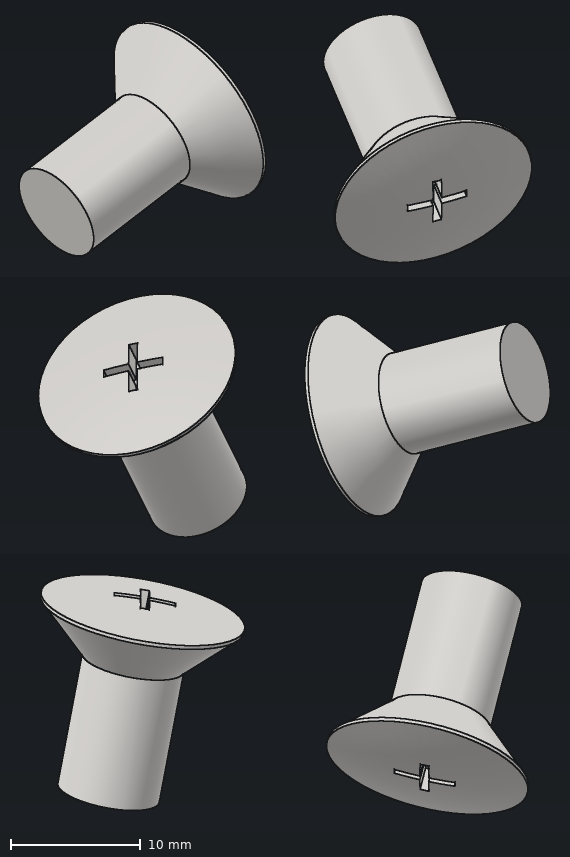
import cadquery as cq

head_diameter = 16.0
shank_diameter = head_diameter / 2
total_length = 15.98
dome_height = 0.96
rim_thickness = 0.3
recess_span = 4.8
recess_width = 0.7
recess_depth = 1.92

head_radius = head_diameter / 2
shank_radius = shank_diameter / 2
cone_height = head_radius - shank_radius

rim_top = total_length - dome_height
rim_bottom = rim_top - rim_thickness
shank_top = rim_bottom - cone_height

dome_radius = (head_radius**2 + dome_height**2) / (2 * dome_height)
dome_center = total_length - dome_radius
mid_radius = head_radius / 2
mid_height = dome_center + (dome_radius**2 - mid_radius**2) ** 0.5

body = (
    cq.Workplane("XY")
    .moveTo(0, 0)
    .lineTo(shank_radius, 0)
    .lineTo(shank_radius, shank_top)
    .lineTo(head_radius, rim_bottom)
    .lineTo(head_radius, rim_top)
    .threePointArc((mid_radius, mid_height), (0, total_length))
    .close()
    .revolve(360, (0, 0, 0), (0, 1, 0))
)


def recess_arm(size_x, size_z):
    """One bar of the cross recess, cut down from the top of the dome."""
    return cq.Workplane("XY").box(size_x, recess_depth, size_z).translate(
        (0, total_length - recess_depth / 2, 0)
    )


result = body.cut(recess_arm(recess_span, recess_width)).cut(recess_arm(recess_width, recess_span))